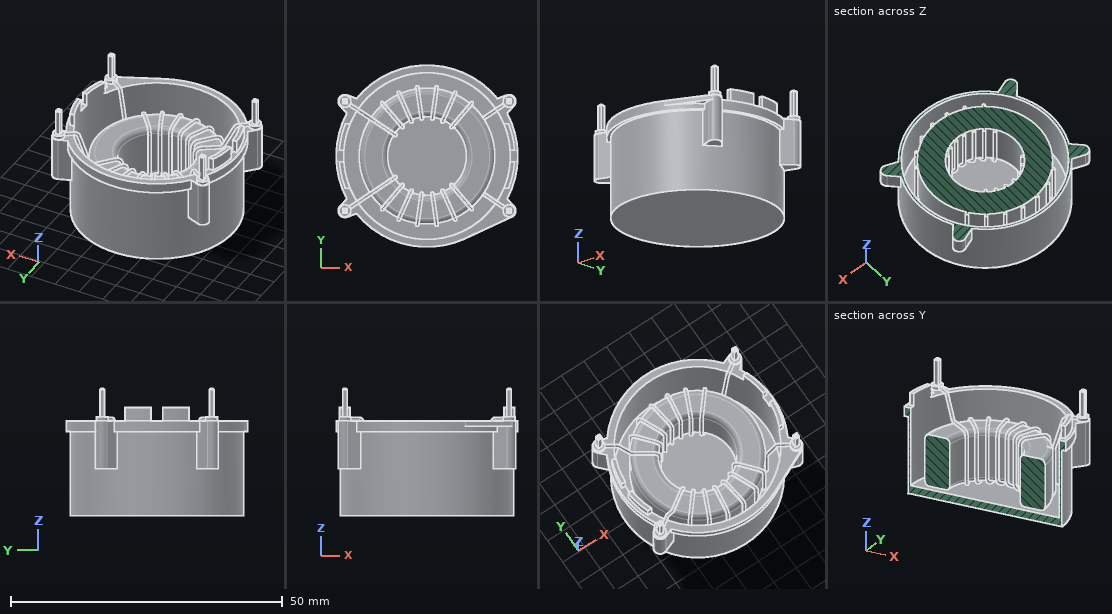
import cadquery as cq
import math


CUP_RADIUS = 16.0
CAVITY_RADIUS = 15.35
FLANGE_RADIUS = 16.75
CUP_HEIGHT = 17.5
FLANGE_THICKNESS = 2.0
FLOOR_THICKNESS = 1.8

TAB_RADIUS = 16.15
TAB_HEIGHT = 2.5
TAB_START_Y = 1.06
TAB_END_Y = 5.93

PIN_X = 15.1
PIN_Y = 10.07
PIN_DISTANCE = math.hypot(PIN_X, PIN_Y)
PIN_ANGLE = math.degrees(math.atan2(PIN_Y, PIN_X))
PIN_ANGLES = [PIN_ANGLE, 180 - PIN_ANGLE, 180 + PIN_ANGLE, 360 - PIN_ANGLE]
LUG_RADIUS = 1.25
LUG_BOTTOM = 8.65
LUG_FLARE = 13.15
LUG_ROOT = 14.5
WEB_THICKNESS = 0.95

CORE_RADIUS = 12.5
CORE_HOLE_RADIUS = 7.25
CORE_EDGE_RADIUS = 1.0

WIRE_RADIUS = 0.3
WIRE_SEAT = 0.27
CORE_BOTTOM = FLOOR_THICKNESS + WIRE_SEAT + WIRE_RADIUS
CORE_TOP = 12.9
WIRE_INNER = CORE_HOLE_RADIUS - WIRE_SEAT
WIRE_OUTER = CORE_RADIUS + WIRE_SEAT
WIRE_TOP = CORE_TOP + WIRE_SEAT
WIRE_BOTTOM = CORE_BOTTOM - WIRE_SEAT
CORE_BEND = CORE_EDGE_RADIUS + WIRE_SEAT
LEG_END = WIRE_BOTTOM + CORE_BEND
LEAD_BEND = 0.83
SHORTEST_EDGE = 0.001
TURNS = 7
TURN_PITCH = (180 - 2 * PIN_ANGLE) / TURNS

COLLAR_RADIUS = 1.1
COLLAR_HEIGHT = 0.72
PIN_WIDTH = 0.87
PIN_TOP = 23.5
PIN_CHAMFER = 0.25
LEAD_CLEARANCE = 0.1
LEAD_HEIGHT = CUP_HEIGHT + LEAD_CLEARANCE + WIRE_RADIUS
LEAD_DROP_RADIUS = 14.63
LEAD_LANDING_RADIUS = 12.09


def disc(radius, bottom, top):
    return cq.Workplane("XY").workplane(offset=bottom).circle(radius).extrude(top - bottom)


def polar(radius, angle):
    return (radius * math.cos(math.radians(angle)), radius * math.sin(math.radians(angle)))


def lug(angle):
    """Round-nosed post whose flat sides flare toward the cup wall."""
    nose_x = PIN_DISTANCE + LUG_RADIUS * math.sin(math.radians(LUG_FLARE))
    nose_y = LUG_RADIUS * math.cos(math.radians(LUG_FLARE))
    root_y = nose_y + (nose_x - LUG_ROOT) * math.tan(math.radians(LUG_FLARE))
    return (
        cq.Workplane("XY")
        .workplane(offset=LUG_BOTTOM)
        .moveTo(LUG_ROOT, -root_y)
        .lineTo(nose_x, -nose_y)
        .threePointArc((PIN_DISTANCE + LUG_RADIUS, 0), (nose_x, nose_y))
        .lineTo(LUG_ROOT, root_y)
        .close()
        .extrude(CUP_HEIGHT - LUG_BOTTOM)
        .rotate((0, 0, 0), (0, 0, 1), angle)
    )


def keying_web():
    """Flat web under the common tangent of the flange and the lug at +X, -Y."""
    tangent_angle = -PIN_ANGLE - math.degrees(math.acos((FLANGE_RADIUS - LUG_RADIUS) / PIN_DISTANCE))
    offset_x, offset_y = polar(LUG_RADIUS, tangent_angle)
    return (
        cq.Workplane("XY")
        .workplane(offset=CUP_HEIGHT - WEB_THICKNESS)
        .polyline([
            (0, 0),
            polar(FLANGE_RADIUS, tangent_angle),
            (PIN_X + offset_x, -PIN_Y + offset_y),
            (PIN_X, -PIN_Y),
        ])
        .close()
        .extrude(WEB_THICKNESS)
    )


def tabs():
    """Four curved tabs standing on the rim."""
    top = CUP_HEIGHT + TAB_HEIGHT
    ring = disc(TAB_RADIUS, CUP_HEIGHT, top).cut(disc(CAVITY_RADIUS, CUP_HEIGHT, top))
    middle_y = (TAB_START_Y + TAB_END_Y) / 2
    bands = (
        cq.Workplane("XY")
        .workplane(offset=CUP_HEIGHT)
        .pushPoints([(0, middle_y), (0, -middle_y)])
        .rect(2 * FLANGE_RADIUS, TAB_END_Y - TAB_START_Y)
        .extrude(TAB_HEIGHT)
    )
    return ring.intersect(bands)


def make_cup():
    body = disc(CUP_RADIUS, 0, CUP_HEIGHT)
    body = body.union(disc(FLANGE_RADIUS, CUP_HEIGHT - FLANGE_THICKNESS, CUP_HEIGHT))
    for angle in PIN_ANGLES:
        body = body.union(lug(angle))
    body = body.union(keying_web())
    body = body.cut(disc(CAVITY_RADIUS, FLOOR_THICKNESS, CUP_HEIGHT))
    return body.union(tabs()).solids()


def wire_run(start, end, corners):
    """Round wire in the upright plane through two (x, y) points.

    Each corner is (distance from start toward end, z, bend radius); the first and last are the wire ends.
    """
    origin = cq.Vector(*start, 0)
    along = (cq.Vector(*end, 0) - origin).normalized()
    points = [origin + along * distance + cq.Vector(0, 0, z) for distance, z, _ in corners]
    edges = []
    reached = points[0]
    for before, corner, after, (_, _, bend) in zip(points, points[1:], points[2:], corners[1:]):
        back = (before - corner).normalized()
        ahead = (after - corner).normalized()
        half_angle = back.getAngle(ahead) / 2
        bend_start = corner + back * (bend / math.tan(half_angle))
        bend_end = corner + ahead * (bend / math.tan(half_angle))
        inward = (back + ahead).normalized()
        bend_middle = corner + inward * (bend / math.sin(half_angle) - bend)
        if (bend_start - reached).Length > SHORTEST_EDGE:
            edges.append(cq.Edge.makeLine(reached, bend_start))
        edges.append(cq.Edge.makeThreePointArc(bend_start, bend_middle, bend_end))
        reached = bend_end
    if (points[-1] - reached).Length > SHORTEST_EDGE:
        edges.append(cq.Edge.makeLine(reached, points[-1]))
    section = cq.Plane(origin=points[0], normal=points[1] - points[0])
    return cq.Workplane(section).circle(WIRE_RADIUS).sweep(cq.Wire.assembleEdges(edges))


def radial_run(angle, corners):
    return wire_run((0, 0), polar(1, angle), corners)


def top_run(angle):
    """Half turn over the top of the core, from the outer leg to the inner leg."""
    return radial_run(angle, [
        (WIRE_OUTER, LEG_END, 0),
        (WIRE_OUTER, WIRE_TOP, CORE_BEND),
        (WIRE_INNER, WIRE_TOP, CORE_BEND),
        (WIRE_INNER, LEG_END, 0),
    ])


def bottom_run(inner_angle, outer_angle):
    """Half turn under the core, from an inner leg across to the outer leg of the next turn."""
    inner_point = polar(WIRE_INNER, inner_angle)
    outer_point = polar(WIRE_OUTER, outer_angle)
    span = math.dist(inner_point, outer_point)
    return wire_run(inner_point, outer_point, [
        (0, LEG_END, 0),
        (0, WIRE_BOTTOM, CORE_BEND),
        (span, WIRE_BOTTOM, CORE_BEND),
        (span, LEG_END, 0),
    ])


def inner_lead(angle):
    """Lead from a pin down onto the top of the core and into the core hole."""
    return radial_run(angle, [
        (PIN_DISTANCE, LEAD_HEIGHT, 0),
        (LEAD_DROP_RADIUS, LEAD_HEIGHT, LEAD_BEND),
        (LEAD_LANDING_RADIUS, WIRE_TOP, LEAD_BEND),
        (WIRE_INNER, WIRE_TOP, CORE_BEND),
        (WIRE_INNER, LEG_END, 0),
    ])


def outer_lead(angle):
    """Lead from a pin down to the outside of the core."""
    return radial_run(angle, [
        (PIN_DISTANCE, LEAD_HEIGHT, 0),
        (LEAD_DROP_RADIUS, LEAD_HEIGHT, LEAD_BEND),
        (WIRE_OUTER, CORE_TOP - CORE_EDGE_RADIUS, LEAD_BEND),
        (WIRE_OUTER, LEG_END, 0),
    ])


def winding(first_angle, pitch):
    """One coil, wound from its inner lead at -X to its outer lead at +X."""
    angles = [first_angle + pitch * turn for turn in range(TURNS + 1)]
    runs = [inner_lead(angles[0]), outer_lead(angles[-1])]
    runs += [top_run(angle) for angle in angles[1:-1]]
    runs += [bottom_run(inner, outer) for inner, outer in zip(angles, angles[1:])]
    return runs


def terminal(angle):
    """Solder collar resting on a lug, with a square chamfered pin."""
    collar = disc(COLLAR_RADIUS, CUP_HEIGHT, CUP_HEIGHT + COLLAR_HEIGHT)
    pin = (
        cq.Workplane("XY")
        .workplane(offset=CUP_HEIGHT)
        .rect(PIN_WIDTH, PIN_WIDTH)
        .extrude(PIN_TOP - CUP_HEIGHT)
        .faces(">Z")
        .chamfer(PIN_CHAMFER)
    )
    return collar.union(pin).translate((*polar(PIN_DISTANCE, angle), 0))


def make_wound_core():
    body = disc(CORE_RADIUS, CORE_BOTTOM, CORE_TOP)
    body = body.cut(disc(CORE_HOLE_RADIUS, CORE_BOTTOM, CORE_TOP))
    body = body.edges("%CIRCLE").fillet(CORE_EDGE_RADIUS)
    attached = winding(180 - PIN_ANGLE, -TURN_PITCH)
    attached += winding(180 + PIN_ANGLE, TURN_PITCH)
    attached += [terminal(angle) for angle in PIN_ANGLES]
    fused = body.val().fuse(*[piece.val() for piece in attached]).clean()
    return cq.Workplane(fused).solids()


cup = make_cup()
wound_core = make_wound_core()
result = cq.Compound.makeCompound([cup.val(), wound_core.val()])